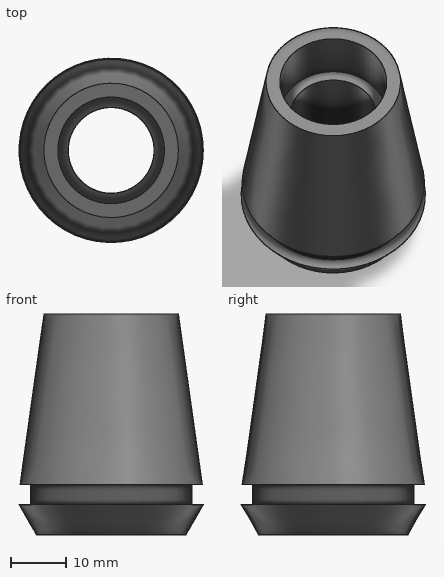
import cadquery as cq
import math

height = 40.0

flange_radius = 33.35 / 2
flange_height = 5.5
flange_angle = 30.0
nose_radius = flange_radius - flange_height * math.tan(math.radians(flange_angle))

groove_radius = 29.2 / 2
groove_width = 3.6
taper_base_z = flange_height + groove_width

taper_base_radius = 33.0 / 2
taper_angle = 8.0
taper_height = height - taper_base_z
top_radius = taper_base_radius - taper_height * math.tan(math.radians(taper_angle))

bore_diameter = 15.5
counterbore_diameter = 19.3
counterbore_depth = 10.0


def make_body():
    """Revolve the half section (radius, z) about the Z axis."""
    half_section = [
        (0, 0),
        (nose_radius, 0),
        (flange_radius, flange_height),
        (groove_radius, flange_height),
        (groove_radius, taper_base_z),
        (taper_base_radius, taper_base_z),
        (top_radius, height),
        (0, height),
    ]
    profile = cq.Workplane("XZ").polyline(half_section).close()
    return profile.revolve(360, (0, 0, 0), (0, 1, 0))


def cut_stepped_bore(body):
    """Drill the counterbored through hole down from the top face."""
    top_face = body.faces(">Z").workplane()
    return top_face.cboreHole(bore_diameter, counterbore_diameter, counterbore_depth)


result = cut_stepped_bore(make_body())